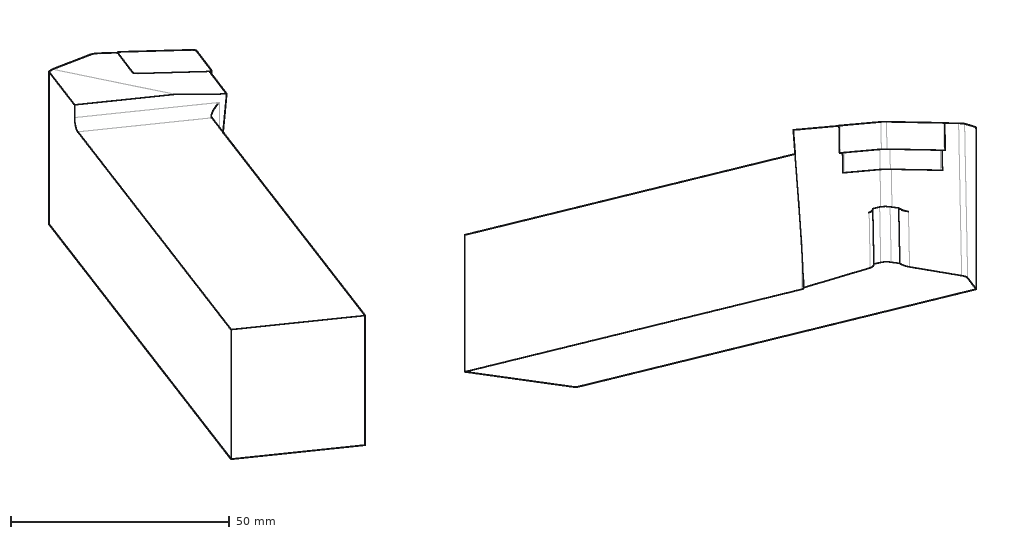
import cadquery as cq
import math

overall_length = 170.0
shank_size = 32.0

head_height = 37.5
head_end_x = 39.0
step_radius = 2.5
corner_chamfer = 17.5
crease_offset = 15.0
tilt_angle = 8.2
prism_depth = 51.0
edge_lean = 0.08
wall_inset = 0.7
tip_wall_radius = 1.7
chamfer_wall_radius = 4.2

tip_x = -0.08
tip_y = 40.02
insert_side = 19.2
insert_thickness = 6.3
insert_radius = 0.8
seat_thickness = 4.6
seat_inset = 0.3
seat_radius = 1.5

foot_height = 12.5
foot_reach = 0.8
foot_flat = 3.4
foot_flare = 9.3
foot_sag = 0.42
foot_radius = 1.7

tilt_slope = math.tan(math.radians(tilt_angle))
side_tilt = math.sin(math.radians(tilt_angle)) / math.sqrt(2)
axis = cq.Vector(-side_tilt, side_tilt, math.cos(math.radians(tilt_angle)))


def on_slope(x, y):
    """Lift a plan point onto the sloping top plane."""
    distance = (y - x + crease_offset) / math.sqrt(2)
    return cq.Vector(x, y, head_height - tilt_slope * distance)


def mirrored(x, y):
    """Mirror a plan point across the diagonal through the cutting tip."""
    return tip_x + tip_y - y, tip_y + tip_x - x


def sloped_prism(edges, depth):
    """Extrude a closed outline on the sloping plane squarely down from it."""
    face = cq.Face.makeFromWires(cq.Wire.assembleEdges(edges))
    return cq.Workplane(cq.Solid.extrudeLinear(face, axis * -depth))


def straight_edges(points):
    lifted = [on_slope(*point) for point in points]
    return [cq.Edge.makeLine(a, b) for a, b in zip(lifted, lifted[1:] + lifted[:1])]


def upright_edge_near(x, y, depth):
    """Select the prism edge that starts at a plan point."""
    return cq.selectors.NearestToPointSelector((on_slope(x, y) - axis * (depth / 2)).toTuple())


def rhombus(inset):
    """Insert outline, moved in by the inset on all sides."""
    near = inset * (1 + edge_lean)
    far = insert_side - near
    pairs = [(near, near), (far, near), (far, far), (near, far)]
    return [
        (tip_x + along + edge_lean * across, tip_y - across - edge_lean * along)
        for along, across in pairs
    ]


def make_shank():
    bar_length = overall_length - corner_chamfer
    bar = cq.Workplane().box(bar_length, shank_size, shank_size, centered=False)
    return bar.translate((corner_chamfer, 0, 0))


def make_head():
    tip = (tip_x + wall_inset, tip_y - wall_inset)
    wall_drop = (tip[0] + tip[1] - corner_chamfer) / (1 - edge_lean)
    shoulder = (tip[0] + edge_lean * wall_drop, tip[1] - wall_drop)
    far_x = 2 * head_end_x
    points = [
        tip,
        shoulder,
        (2 * corner_chamfer, -corner_chamfer),
        (far_x, -corner_chamfer),
        (far_x, tip[1] - edge_lean * (far_x - tip[0])),
    ]
    prism = sloped_prism(straight_edges(points), prism_depth)
    prism = prism.edges(upright_edge_near(*tip, prism_depth)).fillet(tip_wall_radius)
    prism = prism.edges(upright_edge_near(*shoulder, prism_depth)).fillet(chamfer_wall_radius)
    envelope = cq.Workplane().box(head_end_x, 2 * tip_y, head_height, centered=False)
    return prism.intersect(envelope)


def make_foot():
    flare_end = (tip_x + wall_inset + edge_lean * foot_flare, tip_y - foot_flare)
    flat_end = (tip_x - foot_reach, tip_y - foot_flat)
    corner = (tip_x - foot_reach, tip_y + foot_reach)
    flare_middle = (
        (flare_end[0] + flat_end[0]) / 2 + foot_sag,
        (flare_end[1] + flat_end[1]) / 2 + foot_sag,
    )
    root = (tip_x + foot_flare, tip_y - foot_flare)

    def line(a, b):
        return cq.Edge.makeLine(on_slope(*a), on_slope(*b))

    def arc(a, b, c):
        return cq.Edge.makeThreePointArc(on_slope(*a), on_slope(*b), on_slope(*c))

    edges = [
        line(root, flare_end),
        arc(flare_end, flare_middle, flat_end),
        line(flat_end, corner),
        line(corner, mirrored(*flat_end)),
        arc(mirrored(*flat_end), mirrored(*flare_middle), mirrored(*flare_end)),
        line(mirrored(*flare_end), root),
    ]
    prism = sloped_prism(edges, prism_depth)
    prism = prism.edges(upright_edge_near(*corner, prism_depth)).fillet(foot_radius)
    slab = cq.Workplane().box(4 * tip_y, 4 * tip_y, foot_height, centered=(True, True, False))
    return prism.intersect(slab)


def make_insert():
    prism = sloped_prism(straight_edges(rhombus(0)), insert_thickness)
    return prism.edges(cq.selectors.ParallelDirSelector(axis)).fillet(insert_radius)


def make_seat_lip():
    prism = sloped_prism(straight_edges(rhombus(seat_inset)), seat_thickness)
    prism = prism.edges(cq.selectors.ParallelDirSelector(axis)).fillet(seat_radius)
    return prism.translate(axis * -insert_thickness)


def make_holder(insert):
    body = make_shank().union(make_head())
    margin = 0.2
    step_corners = cq.selectors.BoxSelector(
        (head_end_x - margin, margin, margin),
        (head_end_x + margin, shank_size + margin, shank_size + margin),
    )
    body = body.edges(step_corners).fillet(step_radius)
    return body.union(make_foot()).union(make_seat_lip()).cut(insert)


insert = make_insert()
holder = make_holder(insert)

result = cq.Compound.makeCompound([holder.val(), insert.val()])